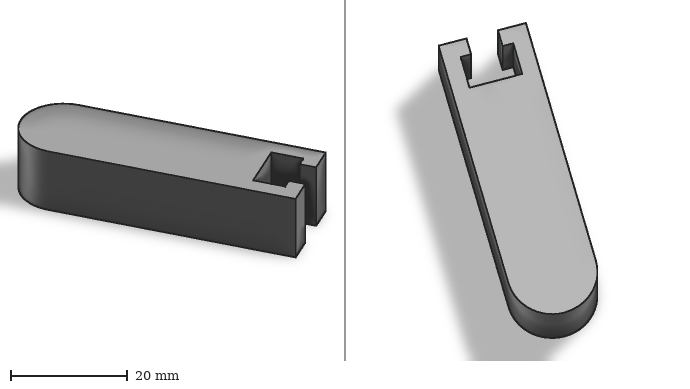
import cadquery as cq

length = 52.8
width = 15.6
height = 12.0

slot_depth = 8.8
slot_width = 9.4
lip_thickness = 3.0
mouth_width = 5.6

end_radius = width / 2


def block(x_start, x_end, y_width):
    """Full-height block centred on Y, spanning x_start to x_end."""
    return (
        cq.Workplane("XY")
        .box(x_end - x_start, y_width, height, centered=(False, True, False))
        .translate((x_start, 0, 0))
    )


rounded_end = cq.Workplane("XY").center(end_radius, 0).circle(end_radius).extrude(height)
body = block(end_radius, length, width).union(rounded_end)

pocket = block(length - slot_depth, length - lip_thickness, slot_width)
mouth = block(length - slot_depth, length, mouth_width)

result = body.cut(pocket).cut(mouth)